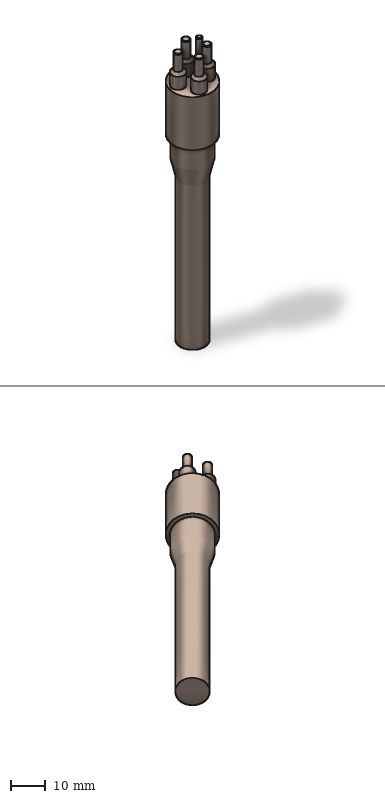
import cadquery as cq

taper_bottom = 60.2
taper_top = 66.8
body_bottom = 75.0
body_top = 94.3
collar_top = 99.0
shoulder_top = 100.0
pin_tip = 106.5

cable_diameter = 10.0
sleeve_diameter = 13.0
body_diameter = 15.5
collar_diameter = 4.8
contact_diameter = 2.8
key_diameter = 2.0

tip_chamfer = 0.3

contact_spacing = 6.5
key_offset = 5.5


def cylinder(diameter, bottom, top, x=0, y=0):
    """Upright cylinder between two heights."""
    return cq.Workplane("XY", origin=(x, y, bottom)).circle(diameter / 2).extrude(top - bottom)


def cone(bottom_diameter, bottom, top_diameter, top, x=0, y=0):
    """Upright truncated cone between two heights."""
    solid = cq.Solid.makeCone(
        bottom_diameter / 2, top_diameter / 2, top - bottom, pnt=cq.Vector(x, y, bottom)
    )
    return cq.Workplane(obj=solid)


def pin(diameter, x, y):
    """Pin rising from the connector face, with a chamfered tip."""
    return cylinder(diameter, body_top, pin_tip, x, y).faces(">Z").chamfer(tip_chamfer)


def contact(x, y):
    """Contact pin on a thicker collar with a conical shoulder."""
    collar = cylinder(collar_diameter, body_top, collar_top, x, y)
    shoulder = cone(collar_diameter, collar_top, contact_diameter, shoulder_top, x, y)
    return collar.union(shoulder).union(pin(contact_diameter, x, y))


result = cylinder(cable_diameter, 0, taper_bottom)
result = result.union(cone(cable_diameter, taper_bottom, sleeve_diameter, taper_top))
result = result.union(cylinder(sleeve_diameter, taper_top, body_bottom))
result = result.union(cylinder(body_diameter, body_bottom, body_top))

for x_side in (-1, 1):
    for y_side in (-1, 1):
        result = result.union(contact(x_side * contact_spacing / 2, y_side * contact_spacing / 2))

result = result.union(pin(key_diameter, 0, key_offset))